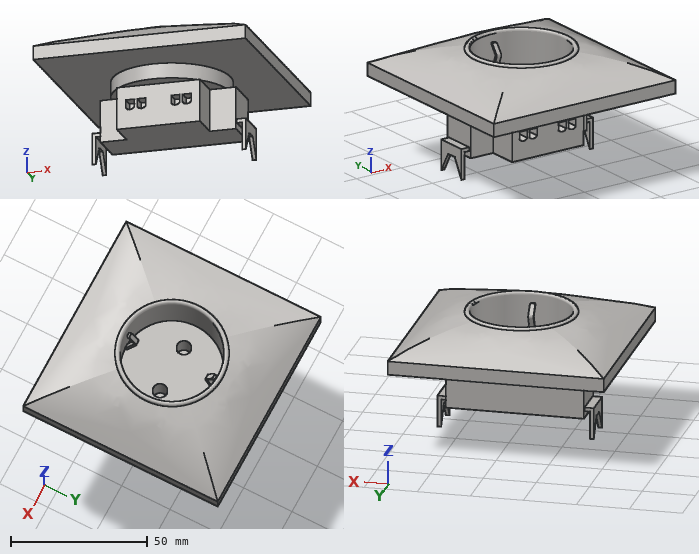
import cadquery as cq
import math

plate_x = 81.5
plate_y = 80.5
plate_edge = 5.2

top_z = 15.1
well_radius = 38.0 / 2
rim_tube_radius = 1.0
rim_mid_radius = well_radius + rim_tube_radius
rim_outer_radius = rim_mid_radius + rim_tube_radius
rim_mid_z = top_z - rim_tube_radius
well_floor_z = -2.9

side_bulge = 1.3
diagonal_bulge = 1.3

contact_hole_diameter = 5.5
contact_hole_spacing = 18.9
contact_hole_depth = 9.8

collar_diameter = 45.0
collar_bottom_z = -5.8
block_bottom_z = -21.9
block_back_y = 10.3
block_front_y = -16.8
block_width = 31.95
ear_front_y = -4.65
ears_width = 52.0

wire_hole_diameter = 4.0
wire_hole_width = 3.35
wire_hole_top_z = -10.8
wire_hole_bottom_z = -14.7
wire_hole_depth = 4.9
wire_hole_inner_x = 6.5
wire_hole_outer_x = 10.9

claw_reach_x = 29.5
claw_thickness = 1.5
claw_width = 12.9
claw_mid_y = 2.8
claw_top_z = -17.85
claw_bottom_z = -29.9
claw_notch_top_z = -22.25
claw_notch_top_width = 4.15

clip_width = 2.0
clip_thickness = 1.0
clip_foot_y = 18.25
clip_knee_y = 14.1
clip_knee_z = 7.2
clip_tip_y = 17.2
clip_tip_z = 11.3
clip_knee_fillet = 1.5
clip_tip_fillet = 0.65


def raised_middle(start, end, bulge):
    """Point above the middle of the chord from start to end."""
    middle = (start + end) * 0.5
    return middle + cq.Vector(0, 0, bulge)


def make_plate():
    """Square plate whose four curved faces rise from straight sides to the round rim."""
    corner_signs = [(-1, -1), (1, -1), (1, 1), (-1, 1)]
    corners = [cq.Vector(sx * plate_x / 2, sy * plate_y / 2, plate_edge) for sx, sy in corner_signs]
    rim_leg = rim_outer_radius * math.sqrt(0.5)
    rim_points = [cq.Vector(sx * rim_leg, sy * rim_leg, rim_mid_z) for sx, sy in corner_signs]
    diagonals = [
        cq.Edge.makeThreePointArc(low, raised_middle(low, high, diagonal_bulge), high)
        for low, high in zip(corners, rim_points)
    ]

    down = cq.Vector(0, 0, -plate_edge)
    faces = []
    rim_arcs = []
    for i in range(4):
        j = (i + 1) % 4
        side_middle = (corners[i] + corners[j]) * 0.5
        outward = cq.Vector(side_middle.x, side_middle.y, 0).normalized()
        rim_middle = outward * rim_outer_radius + cq.Vector(0, 0, rim_mid_z)
        side = cq.Edge.makeLine(corners[i], corners[j])
        rim_arc = cq.Edge.makeThreePointArc(rim_points[i], rim_middle, rim_points[j])
        rim_arcs.append(rim_arc)
        dome_point = raised_middle(side_middle, rim_middle, side_bulge)
        faces.append(cq.Face.makeNSidedSurface([side, diagonals[j], rim_arc, diagonals[i]], [dome_point]))
        outline = [corners[i], corners[j], corners[j] + down, corners[i] + down]
        faces.append(cq.Face.makeFromWires(cq.Wire.makePolygon(outline, close=True)))
    faces.append(cq.Face.makeFromWires(cq.Wire.assembleEdges(rim_arcs)))
    base = [corner + down for corner in corners]
    faces.append(cq.Face.makeFromWires(cq.Wire.makePolygon(base, close=True)))
    solid = cq.Solid.makeSolid(cq.Shell.makeShell(faces))
    return cq.Workplane(solid.fix())


def make_rim():
    """Half-round bead standing on the flat ring between the well and the dome."""
    return (
        cq.Workplane("XZ")
        .moveTo(well_radius, rim_mid_z)
        .threePointArc((rim_mid_radius, top_z), (rim_outer_radius, rim_mid_z))
        .close()
        .revolve(360, (0, 0, 0), (0, 1, 0))
    )


def make_collar():
    return cq.Workplane().circle(collar_diameter / 2).extrude(collar_bottom_z)


def block_part(width, front_y):
    """Box from the common back face to front_y, hanging from the collar."""
    return (
        cq.Workplane()
        .workplane(offset=block_bottom_z)
        .center(0, (block_back_y + front_y) / 2)
        .rect(width, block_back_y - front_y)
        .extrude(collar_bottom_z - block_bottom_z)
    )


def wire_hole(x):
    """Hole with a flat top, straight sides and a round bottom."""
    half_width = wire_hole_width / 2
    radius = wire_hole_diameter / 2
    arc_end_z = wire_hole_bottom_z + radius - math.sqrt(radius**2 - half_width**2)
    return (
        cq.Workplane("XZ", origin=(x, block_front_y, 0))
        .moveTo(-half_width, wire_hole_top_z)
        .lineTo(-half_width, arc_end_z)
        .threePointArc((0, wire_hole_bottom_z), (half_width, arc_end_z))
        .lineTo(half_width, wire_hole_top_z)
        .close()
        .extrude(-wire_hole_depth)
    )


def make_claw():
    """L-shaped claw on the +X end with a tapered notch that leaves two points."""
    inner_x = ears_width / 2
    arm_length = claw_reach_x - inner_x
    leg_height = claw_top_z - claw_bottom_z
    bracket = (
        cq.Workplane("XZ", origin=(0, claw_mid_y + claw_width / 2, 0))
        .moveTo(inner_x, claw_top_z)
        .hLine(arm_length)
        .vLine(-leg_height)
        .hLine(-claw_thickness)
        .vLine(leg_height - claw_thickness)
        .hLine(claw_thickness - arm_length)
        .close()
        .extrude(claw_width)
    )
    notch = (
        cq.Workplane("YZ", origin=(inner_x, claw_mid_y, 0))
        .moveTo(-claw_width / 2, claw_bottom_z)
        .lineTo(-claw_notch_top_width / 2, claw_notch_top_z)
        .hLine(claw_notch_top_width)
        .lineTo(claw_width / 2, claw_bottom_z)
        .close()
        .extrude(arm_length)
    )
    return bracket.cut(notch)


def make_clip():
    """Bent strip standing on the well floor at the +Y wall, with its knee towards the axis."""
    return (
        cq.Workplane("YZ", origin=(-clip_width / 2, 0, 0))
        .moveTo(clip_foot_y, well_floor_z)
        .lineTo(clip_knee_y, clip_knee_z)
        .lineTo(clip_tip_y, clip_tip_z)
        .hLine(clip_thickness)
        .lineTo(clip_knee_y + clip_thickness, clip_knee_z)
        .lineTo(clip_foot_y + clip_thickness, well_floor_z)
        .close()
        .extrude(clip_width)
        .edges("<Y")
        .fillet(clip_knee_fillet)
        .faces(">Z")
        .edges("|Y")
        .fillet(clip_tip_fillet)
    )


well = cq.Workplane().workplane(offset=well_floor_z).circle(well_radius).extrude(rim_mid_z - well_floor_z)
contact_holes = (
    cq.Workplane()
    .workplane(offset=well_floor_z)
    .pushPoints([(-contact_hole_spacing / 2, 0), (contact_hole_spacing / 2, 0)])
    .circle(contact_hole_diameter / 2)
    .extrude(-contact_hole_depth)
)

result = (
    make_plate()
    .union(make_collar())
    .union(block_part(block_width, block_front_y))
    .union(block_part(ears_width, ear_front_y))
    .cut(well)
    .cut(contact_holes)
    .union(make_rim())
)
for wire_x in (wire_hole_inner_x, wire_hole_outer_x):
    result = result.cut(wire_hole(wire_x)).cut(wire_hole(-wire_x))

claw = make_claw()
clip = make_clip()
result = result.union(claw).union(claw.mirror("YZ"))
result = result.union(clip).union(clip.mirror("XZ"))
result = cq.Workplane(result.solids().val())